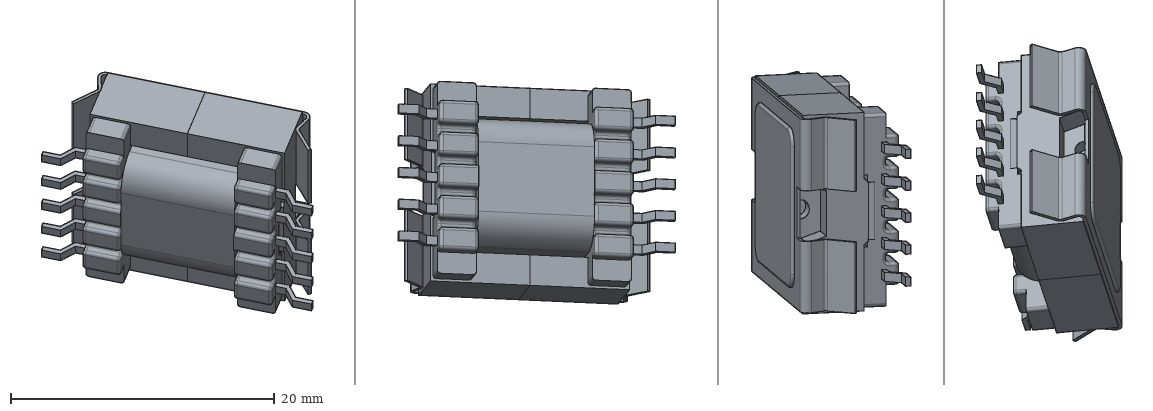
import cadquery as cq
import math


tolerance = 0.002

core_size = 15.4
core_front = 2.92
core_back = 7.7
centre_front = 2.6
centre_front_half = 2.3
leg_half = 2.56
channel_floor = 5.87
channel_floor_half = 1.75
channel_mouth_half = 2.35
window_half = 5.32
end_wall = 2.0
core_half = core_size / 2
wall_inner = core_half - end_wall

rail_inner = 4.48
rail_outer = 7.5
rail_length = 14.99
rail_front = 1.15
rail_corner = 0.25
bobbin_back = 7.47
tooth_front = 0.13
tooth_width = 1.75
slot_corner = 0.25
edge_round = 0.25
bore_half = 2.8
bore_wall = 0.43
lead_in_half = 2.22
lead_in_length = 0.53
lead_in_depth = 0.17
flange_notch_radius = 0.75

lead_count = 5
lead_pitch = 2.48
lead_width = 0.7
lead_thickness = 0.4
lead_span = 21.35
lead_top = 1.54
lead_foot_bend = 9.15
lead_upper_bend = 8.33
lead_bend_shift = 0.15

winding_front = 0.32
winding_half = 4.97
winding_round = 2.26

clip_thickness = 0.25
clip_length = 14.99
clip_gap = 3.93
clip_gap_end = 6.77
bend_radius = 0.58
bend_centre_x = 7.8
kink_radius = 0.25
kink_centre_y = 6.05
flap_angle = math.radians(38.9)
flap_length = 2.33
pad_width = 11.95
pad_length = 12.43
pad_corner = 1.24
pad_round = 0.21
pad_back = 8.2
clip_back = core_back + clip_thickness


def box(x_range, y_range, z_range):
    """Block given by its low and high coordinates along each axis."""
    size = [high - low for low, high in (x_range, y_range, z_range)]
    corner = (x_range[0], y_range[0], z_range[0])
    return cq.Workplane("XY").box(*size, centered=False).translate(corner)


def mirrored(shape):
    """The shape together with its copy on the -X side."""
    return shape.union(shape.mirror("YZ"))


def make_core_half():
    """The +X half: one section along X, hollowed beside and behind the centre leg for the winding."""
    half_section = [
        (centre_front, centre_front_half),
        (core_front, leg_half),
        (core_front, core_half),
        (core_back, core_half),
        (core_back, channel_mouth_half),
        (channel_floor, channel_floor_half),
    ]
    other_half = [(y, -z) for y, z in reversed(half_section)]
    core = cq.Workplane("YZ").polyline(half_section + other_half).close().extrude(core_half)
    opening = box((0, wall_inner), (centre_front, core_back), (-window_half, window_half))
    leg = box((0, wall_inner), (centre_front, channel_floor), (-leg_half, leg_half))
    return core.cut(opening.cut(leg))


def make_rail():
    """Rail on the +X side, with a row of teeth along its front."""
    row_half = (lead_count - 1) / 2 * lead_pitch + tooth_width / 2
    rail_x = (rail_inner, rail_outer)
    rail_width = rail_outer - rail_inner
    rail = box(rail_x, (rail_front, core_front), (-rail_length / 2, rail_length / 2))
    rail = rail.edges("|Y").fillet(rail_corner)
    teeth = box(rail_x, (tooth_front, rail_front), (-row_half, row_half))
    slot_half = (lead_pitch - tooth_width) / 2
    for i in range(lead_count - 1):
        slot_z = (i - (lead_count - 2) / 2) * lead_pitch
        slot = box(rail_x, (tooth_front, rail_front), (slot_z - slot_half, slot_z + slot_half))
        teeth = teeth.cut(slot.edges("|X and >Y").fillet(slot_corner))
    rail = rail.union(teeth)

    def is_tooth_edge(edge):
        """Front corners of the teeth, and the tooth and slot rims on the rail's two long faces."""
        centre = edge.Center()
        if edge.BoundingBox().xlen > rail_width / 2:
            return centre.y < tooth_front + tolerance
        return centre.y < rail_front + tolerance and abs(centre.z) < row_half + tolerance

    tooth_edges = [edge for edge in rail.edges().vals() if is_tooth_edge(edge)]
    rail = rail.newObject(tooth_edges).fillet(edge_round)
    square_end = box(
        (rail_inner, rail_inner + 2 * edge_round),
        (tooth_front, rail_front),
        (-tooth_width / 2, tooth_width / 2),
    )
    square_end = square_end.edges("|X and <Y").fillet(edge_round)
    return rail.union(square_end)


def make_lead():
    """Gull-wing lead on the +X side, centred on Z = 0."""
    tip = lead_span / 2
    near_top = lead_top - lead_thickness
    outline = [
        (tip, 0),
        (lead_foot_bend, 0),
        (lead_upper_bend, near_top),
        (rail_outer - edge_round, near_top),
        (rail_outer - edge_round, lead_top),
        (lead_upper_bend + lead_bend_shift, lead_top),
        (lead_foot_bend + lead_bend_shift, lead_thickness),
        (tip, lead_thickness),
    ]
    return cq.Workplane("XY").polyline(outline).close().extrude(lead_width / 2, both=True)


def make_tube_block():
    """Outside of the bobbin tube, which carries the winding between the rails."""
    tube_half = bore_half + bore_wall
    return box(
        (-rail_inner, rail_inner),
        (centre_front - bore_wall, channel_floor + bore_wall),
        (-tube_half, tube_half),
    )


def make_bobbin():
    """Two rails with leads and flanges, joined by a tube that is open along X for the centre leg."""
    flange = box((rail_inner, wall_inner), (core_front, bobbin_back), (-window_half, window_half))
    notch = cq.Workplane("YZ").center(bobbin_back, 0).circle(flange_notch_radius).extrude(core_half)
    side = make_rail().union(flange).cut(notch)
    for i in range(lead_count):
        lead_z = (i - (lead_count - 1) / 2) * lead_pitch
        side = side.union(make_lead().translate((0, 0, lead_z)))
    bore = box((-core_half, core_half), (centre_front, channel_floor), (-bore_half, bore_half))
    lead_in = (
        cq.Workplane("XY")
        .polyline([
            (rail_outer, centre_front - lead_in_length),
            (rail_outer, centre_front),
            (rail_outer - lead_in_depth, centre_front),
        ])
        .close()
        .extrude(lead_in_half, both=True)
    )
    return mirrored(side).union(make_tube_block()).cut(bore).cut(mirrored(lead_in))


def make_winding():
    """Rounded block between the flanges, hollow where the bobbin tube runs through it."""
    coil = box((-rail_inner, rail_inner), (winding_front, bobbin_back), (-winding_half, winding_half))
    coil = coil.edges("|X").fillet(winding_round)
    return coil.cut(make_tube_block())


def make_clip_side():
    """+X half of the clip: back plate, bend, leg, kink against the core and free flap."""
    bend_centre = (bend_centre_x, clip_back - bend_radius)
    kink_centre = (core_half + kink_radius + clip_thickness, kink_centre_y)
    run = kink_centre[0] - bend_centre[0]
    drop = bend_centre[1] - kink_centre[1]
    lean = math.asin((bend_radius + kink_radius) / math.hypot(run, drop)) - math.atan2(run, drop)

    def polar(centre, radius, angle):
        return (centre[0] + radius * math.cos(angle), centre[1] + radius * math.sin(angle))

    def face_points(bend, kink):
        """Points along one face of the strip, from the plate to the flap tip."""
        flap_start = polar(kink_centre, kink, math.pi + flap_angle)
        flap_tip = polar(flap_start, flap_length, flap_angle - math.pi / 2)
        return [
            polar(bend_centre, bend, math.pi / 2),
            polar(bend_centre, bend, (math.pi / 2 - lean) / 2),
            polar(bend_centre, bend, -lean),
            polar(kink_centre, kink, math.pi - lean),
            polar(kink_centre, kink, math.pi + (flap_angle - lean) / 2),
            flap_start,
            flap_tip,
        ]

    outer = face_points(bend_radius, kink_radius)
    inner = face_points(bend_radius - clip_thickness, kink_radius + clip_thickness)
    strip = (
        cq.Workplane("XY")
        .moveTo(0, clip_back)
        .lineTo(*outer[0])
        .threePointArc(outer[1], outer[2])
        .lineTo(*outer[3])
        .threePointArc(outer[4], outer[5])
        .lineTo(*outer[6])
        .lineTo(*inner[6])
        .lineTo(*inner[5])
        .threePointArc(inner[4], inner[3])
        .lineTo(*inner[2])
        .threePointArc(inner[1], inner[0])
        .lineTo(0, core_back)
        .close()
        .extrude(clip_length / 2, both=True)
    )
    gap = box((clip_gap_end, lead_span / 2), (0, clip_back), (-clip_gap / 2, clip_gap / 2))
    return strip.cut(gap)


def make_clip():
    """Strip with two arms on each side and a raised pad on its back."""
    pad = box((-pad_width / 2, pad_width / 2), (clip_back, pad_back), (-pad_length / 2, pad_length / 2))
    pad = pad.edges("|Y").fillet(pad_corner).faces(">Y").edges().fillet(pad_round)
    return mirrored(make_clip_side()).union(pad)


right_core = make_core_half()
left_core = right_core.mirror("YZ")
bobbin = make_bobbin()
winding = make_winding()
clip = make_clip()

result = cq.Compound.makeCompound([
    right_core.val(),
    left_core.val(),
    bobbin.val(),
    winding.val(),
    clip.val(),
])